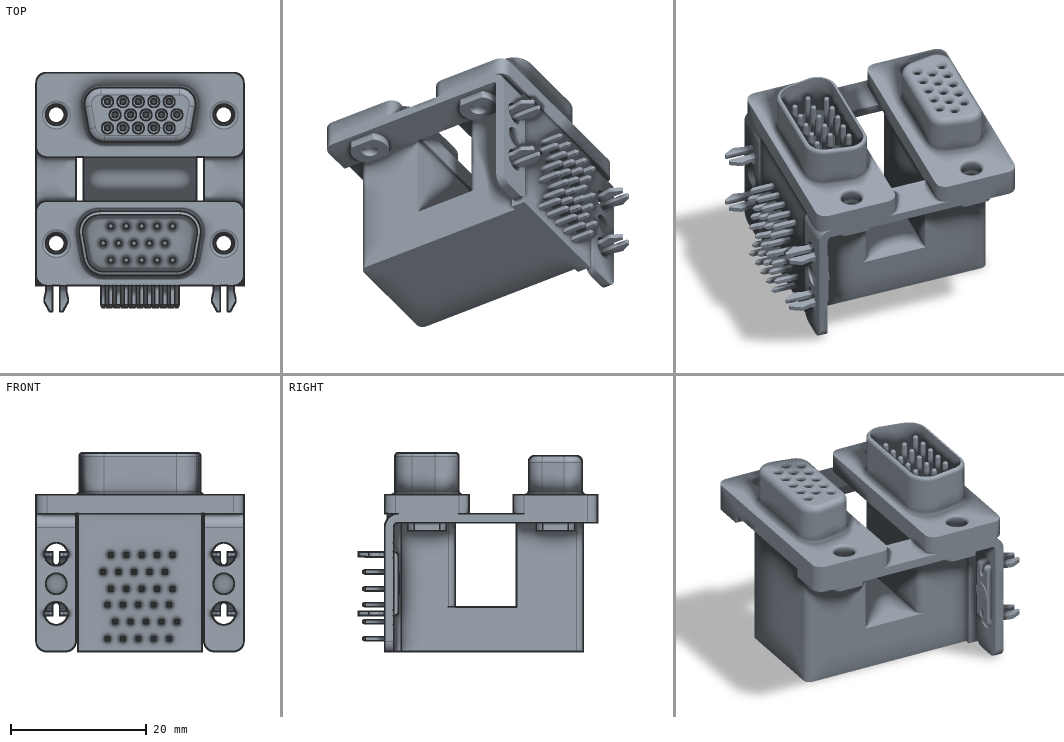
import cadquery as cq
import math


WIDTH = 30.8
HEIGHT = 29.42
BRACKET_BACK = 31.55
SHEET = 1.35
CORNER = 1.55

FLANGE_DEPTH = 12.5
FLANGE_BOTTOM = 20.42
FLANGE_TOP = 23.25
FRONT_Y = FLANGE_DEPTH / 2
REAR_Y = BRACKET_BACK - FLANGE_DEPTH / 2
SCREW_X = 12.4

RIM_RADIUS = 2.05
THROAT_RADIUS = 1.55
SCREW_RADIUS = 1.2
THROAT_LENGTH = 1.3
NUT_RADIUS = 2.85
NUT_FLAT = 2.13
NUT_HEIGHT = 1.2

SHELL_SLANT = math.radians(10)
SHELL_FOOT = 0.5
FOOT_MARGIN = 0.35
SOCKET_HALF_TOP = 5.85
SOCKET_DEPTH = 7.98
SOCKET_RADIUS = 2.38
SOCKET_TOP = 29.05
SOCKET_EDGE = 1.0
PLUG_HALF_TOP = 6.0
PLUG_DEPTH = 9.45
PLUG_RADIUS = 3.0
PLUG_WALL = 0.53
PLUG_EDGE = 0.5
PLUG_FLOOR = FLANGE_TOP

ROW_LENGTH = 5
ROW_SPAN = 9.15
PITCH = ROW_SPAN / (ROW_LENGTH - 1)
OUTER_ROW_SHIFT = 0.25
MIDDLE_ROW_SHIFT = -0.9
SOCKET_ROW_GAP = 1.95
PLUG_ROW_GAP = 2.5
CONTACT_MOUTH = 0.85
CONTACT_BORE = 0.43
LEAD_IN_DEPTH = 0.43
BORE_DEPTH = 2.85
PIN_RADIUS = 0.4
PIN_TOP = 28.68
PIN_ROUND = 0.32

TAIL_SIZE = 0.65
TAIL_LENGTH = 3.25
TAIL_POINT = 0.4
TAIL_TIP = 0.3
PLUG_TAILS_Z = 11.8
SOCKET_TAILS_Z = 4.43
TAIL_ROW_GAP = 2.5

BODY_HALF = 8.4
FACE_HALF = 9.2
FACE_Y = 0.35
FACE_BACK = 2.45
FRONT_POST_BACK = 10.45
REAR_POST_FRONT = 19.5
REAR_POST_BACK = 29.42
BASE_TOP = 6.63
POST_CORNER = 1.03

STRIP_INNER_X = 9.45
BEND_OUTER = 2.0
BEND_INNER = BEND_OUTER - SHEET
STRIP_TOP = FLANGE_BOTTOM
LOCK_Z = 10.05
LOCK_HOLE_OFFSET = 4.35
LOCK_HOLE_RADIUS = 1.7

LOCK_SHEET = 0.67
LOCK_REACH = 4.7
LOCK_BEND = 0.65
LOCK_INNER_BEND = 0.4
LOCK_LENGTH = 3.9
PRONG_HALF = 1.52
BARB_HALF = 1.8
BARB_START = 0.8
BARB_PEAK = 2.05
BARB_END = 2.35
TIP_OUTER = 1.05
TIP_SHOULDER = 3.72
SLOT_WIDTH = 1.03
SLOT_HALF = SLOT_WIDTH / 2
SLOT_REACH = 1.95
RIVET_RADIUS = 1.55
RIVET_HEAD = 0.15
RIVET_RECESS = 0.85


def box(x0, x1, y0, y1, z0, z1):
    return cq.Workplane("XY").box(x1 - x0, y1 - y0, z1 - z0, centered=False).translate((x0, y0, z0))


def both_sides(feature):
    return feature.union(feature.mirror("YZ"))


def row_positions(shift):
    middle = (ROW_LENGTH - 1) / 2
    return [shift + (i - middle) * PITCH for i in range(ROW_LENGTH)]


def contact_points(center, row_gap, mirror):
    """Points of three staggered rows; mirror is 1 or -1 and flips the stagger in X."""
    points = []
    for row in (-1, 0, 1):
        shift = MIDDLE_ROW_SHIFT if row == 0 else OUTER_ROW_SHIFT
        points += [(x, center + row * row_gap) for x in row_positions(mirror * shift)]
    return points


def d_shape(half_top, depth, radius, center_y, z, height):
    """D-sub prism: long side at +Y, slanted ends, four equal corner radii."""
    rise = depth - 2 * radius
    half_bottom = half_top - rise * math.tan(SHELL_SLANT)
    y_top = center_y + rise / 2
    y_bottom = center_y - rise / 2

    def arc_point(x, y, angle):
        return (x + radius * math.cos(angle), y + radius * math.sin(angle))

    start = (half_top, y_top + radius)
    upper_mid = arc_point(half_top, y_top, (math.pi / 2 - SHELL_SLANT) / 2)
    upper_end = arc_point(half_top, y_top, -SHELL_SLANT)
    lower_start = arc_point(half_bottom, y_bottom, -SHELL_SLANT)
    lower_mid = arc_point(half_bottom, y_bottom, -(math.pi / 2 + SHELL_SLANT) / 2)
    lower_end = (half_bottom, y_bottom - radius)

    def flip(point):
        return (-point[0], point[1])

    outline = (
        cq.Workplane("XY", origin=(0, 0, z))
        .moveTo(*start)
        .threePointArc(upper_mid, upper_end)
        .lineTo(*lower_start)
        .threePointArc(lower_mid, lower_end)
        .lineTo(*flip(lower_end))
        .threePointArc(flip(lower_mid), flip(lower_start))
        .lineTo(*flip(upper_end))
        .threePointArc(flip(upper_mid), flip(start))
        .close()
    )
    return outline.extrude(height)


def flange_with_shell(center_y, half_top, depth, radius, top, edge):
    """Flange plate carrying a solid D-shaped shell with a filleted foot and top edge."""
    flange = (
        cq.Workplane("XY", origin=(0, center_y, FLANGE_BOTTOM))
        .rect(WIDTH, FLANGE_DEPTH)
        .extrude(FLANGE_TOP - FLANGE_BOTTOM)
        .edges("|Z")
        .fillet(CORNER)
    )
    shell = d_shape(half_top, depth, radius, center_y, FLANGE_BOTTOM, top - FLANGE_BOTTOM)
    part = flange.union(shell).faces(">Z").edges().fillet(edge)
    half_x = WIDTH / 2 - CORNER
    half_y = FLANGE_DEPTH / 2 - FOOT_MARGIN
    foot = cq.selectors.BoxSelector(
        (-half_x, center_y - half_y, FLANGE_TOP - FOOT_MARGIN),
        (half_x, center_y + half_y, FLANGE_TOP + FOOT_MARGIN),
    )
    return part.edges(foot).fillet(SHELL_FOOT)


def socket():
    part = flange_with_shell(REAR_Y, SOCKET_HALF_TOP, SOCKET_DEPTH, SOCKET_RADIUS, SOCKET_TOP, SOCKET_EDGE)
    hole = (
        cq.Workplane("XZ")
        .polyline([
            (0, 0),
            (CONTACT_MOUTH, 0),
            (CONTACT_BORE, -LEAD_IN_DEPTH),
            (CONTACT_BORE, -BORE_DEPTH),
            (0, -BORE_DEPTH),
        ])
        .close()
        .revolve(360, (0, 0), (0, 1))
    )
    for x, y in contact_points(REAR_Y, SOCKET_ROW_GAP, -1):
        part = part.cut(hole.translate((x, y, SOCKET_TOP)))
    return part


def plug():
    part = flange_with_shell(FRONT_Y, PLUG_HALF_TOP, PLUG_DEPTH, PLUG_RADIUS, HEIGHT, PLUG_EDGE)
    cavity = d_shape(
        PLUG_HALF_TOP,
        PLUG_DEPTH - 2 * PLUG_WALL,
        PLUG_RADIUS - PLUG_WALL,
        FRONT_Y,
        PLUG_FLOOR,
        HEIGHT - PLUG_FLOOR,
    )
    pins = (
        cq.Workplane("XY", origin=(0, 0, FLANGE_BOTTOM))
        .pushPoints(contact_points(FRONT_Y, PLUG_ROW_GAP, 1))
        .circle(PIN_RADIUS)
        .extrude(PIN_TOP - FLANGE_BOTTOM)
        .faces(">Z")
        .edges()
        .fillet(PIN_ROUND)
    )
    return part.cut(cavity).union(pins)


def housing():
    half = BODY_HALF
    body = box(-half, half, FACE_BACK, REAR_POST_BACK, 0, BASE_TOP)
    body = body.union(box(-half, half, REAR_POST_FRONT, REAR_POST_BACK, 0, FLANGE_BOTTOM))
    body = body.edges("|Z and >Y").fillet(POST_CORNER)
    post = box(-half, half, FACE_Y, FRONT_POST_BACK, 0, FLANGE_BOTTOM)
    post = post.edges("|Z and >Y").fillet(POST_CORNER)
    face = box(-FACE_HALF, FACE_HALF, FACE_Y, FACE_BACK, 0, FLANGE_BOTTOM)
    return body.union(post).union(face)


def solder_tail():
    """Square tail along -Y with a tapered point, starting at the housing wall."""
    straight = TAIL_LENGTH - TAIL_POINT
    shank = cq.Workplane("XZ", origin=(0, FACE_Y, 0)).rect(TAIL_SIZE, TAIL_SIZE).extrude(FACE_Y + straight)
    point = (
        cq.Workplane("XZ", origin=(0, -straight, 0))
        .rect(TAIL_SIZE, TAIL_SIZE)
        .workplane(offset=TAIL_POINT)
        .rect(TAIL_TIP, TAIL_TIP)
        .loft()
    )
    return shank.union(point)


def strip():
    """Bent strip at +X: under both flanges, then down the board side."""
    profile = (
        cq.Workplane("YZ", origin=(STRIP_INNER_X, 0, 0))
        .moveTo(0, 0)
        .lineTo(0, STRIP_TOP - BEND_OUTER)
        .radiusArc((BEND_OUTER, STRIP_TOP), BEND_OUTER)
        .lineTo(BRACKET_BACK, STRIP_TOP)
        .lineTo(BRACKET_BACK, STRIP_TOP - SHEET)
        .lineTo(BEND_OUTER, STRIP_TOP - SHEET)
        .radiusArc((SHEET, STRIP_TOP - BEND_OUTER), -BEND_INNER)
        .lineTo(SHEET, 0)
        .close()
        .extrude(WIDTH / 2 - STRIP_INNER_X)
    )
    profile = profile.edges("|Y and <Z").fillet(CORNER)
    profile = profile.edges("|Z and >Y and >X").fillet(CORNER)
    holes = (
        cq.Workplane("XZ", origin=(0, SHEET, 0))
        .pushPoints([(SCREW_X, LOCK_Z - LOCK_HOLE_OFFSET), (SCREW_X, LOCK_Z + LOCK_HOLE_OFFSET)])
        .circle(LOCK_HOLE_RADIUS)
        .extrude(SHEET)
    )
    return profile.cut(holes)


def board_lock():
    """U-shaped clip behind the strip whose split, barbed prongs pass through its holes."""
    back = SHEET + LOCK_SHEET
    side = (
        box(-BARB_HALF, BARB_HALF, -LOCK_LENGTH, back, -LOCK_REACH, LOCK_REACH)
        .edges("|X and >Y")
        .fillet(LOCK_BEND)
    )
    gap_half = LOCK_REACH - LOCK_SHEET
    gap = (
        box(-BARB_HALF, BARB_HALF, -LOCK_LENGTH, SHEET, -gap_half, gap_half)
        .edges("|X and >Y")
        .fillet(LOCK_INNER_BEND)
    )
    tip_middle = (TIP_OUTER + SLOT_HALF) / 2
    plan = (
        cq.Workplane("XY", origin=(0, 0, -LOCK_REACH))
        .moveTo(0, back)
        .lineTo(PRONG_HALF, back)
        .lineTo(PRONG_HALF, -BARB_START)
        .lineTo(BARB_HALF, -BARB_PEAK)
        .lineTo(BARB_HALF, -BARB_END)
        .lineTo(TIP_OUTER, -TIP_SHOULDER)
        .threePointArc((tip_middle, -LOCK_LENGTH), (SLOT_HALF, -TIP_SHOULDER))
        .lineTo(0, -TIP_SHOULDER)
        .close()
        .extrude(2 * LOCK_REACH)
    )
    clip = side.cut(gap).intersect(both_sides(plan))
    for end in (-1, 1):
        z_center = end * (LOCK_REACH - SLOT_REACH + SLOT_HALF)
        slot = (
            cq.Workplane("XZ", origin=(0, back, z_center))
            .circle(SLOT_HALF)
            .extrude(back + LOCK_LENGTH)
        )
        z_low, z_high = sorted((z_center, end * LOCK_REACH))
        slot = slot.union(box(-SLOT_HALF, SLOT_HALF, -LOCK_LENGTH, back, z_low, z_high))
        clip = clip.cut(slot)
    return clip.translate((SCREW_X, 0, LOCK_Z))


def rivet_head():
    back = SHEET + LOCK_SHEET
    return (
        cq.Workplane("XZ", origin=(SCREW_X, back + RIVET_HEAD, LOCK_Z))
        .circle(RIVET_RADIUS)
        .extrude(RIVET_HEAD)
    )


def rivet_recess():
    return (
        cq.Workplane("XZ", origin=(SCREW_X, RIVET_RECESS, LOCK_Z))
        .circle(RIVET_RADIUS)
        .extrude(RIVET_RECESS)
    )


def nut(center_y):
    """Round nut with two flats, under the strip."""
    bottom = STRIP_TOP - SHEET - NUT_HEIGHT
    disc = cq.Workplane("XY").circle(NUT_RADIUS).extrude(NUT_HEIGHT)
    flats = box(-NUT_FLAT, NUT_FLAT, -NUT_RADIUS, NUT_RADIUS, 0, NUT_HEIGHT)
    return disc.intersect(flats).translate((SCREW_X, center_y, bottom))


def screw_hole(center_y):
    """Through hole: rounded rim, straight throat, chamfer, then the narrower bore."""
    rim = RIM_RADIUS - THROAT_RADIUS
    throat_end = rim + THROAT_LENGTH
    chamfer_end = throat_end + THROAT_RADIUS - SCREW_RADIUS
    depth = FLANGE_TOP - STRIP_TOP + SHEET + NUT_HEIGHT
    return (
        cq.Workplane("XZ")
        .lineTo(RIM_RADIUS, 0)
        .radiusArc((THROAT_RADIUS, -rim), -rim)
        .lineTo(THROAT_RADIUS, -throat_end)
        .lineTo(SCREW_RADIUS, -chamfer_end)
        .lineTo(SCREW_RADIUS, -depth)
        .lineTo(0, -depth)
        .close()
        .revolve(360, (0, 0), (0, 1))
        .translate((SCREW_X, center_y, FLANGE_TOP))
    )


side_parts = strip().union(board_lock()).union(rivet_head()).cut(rivet_recess())
for y in (FRONT_Y, REAR_Y):
    side_parts = side_parts.union(nut(y))

result = housing().union(socket()).union(plug()).union(both_sides(side_parts))

for y in (FRONT_Y, REAR_Y):
    result = result.cut(both_sides(screw_hole(y)))

tail = solder_tail()
tail_points = contact_points(PLUG_TAILS_Z, TAIL_ROW_GAP, 1)
tail_points += contact_points(SOCKET_TAILS_Z, TAIL_ROW_GAP, -1)
for x, z in tail_points:
    result = result.union(tail.translate((x, 0, z)))